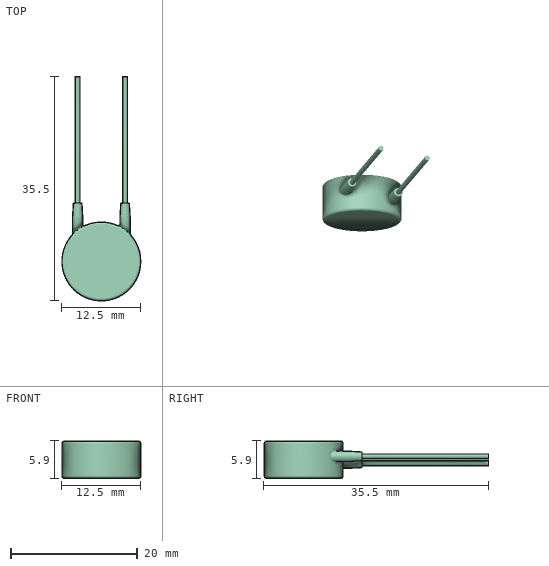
import cadquery as cq

body_diameter = 12.5
body_height = 5.9
body_edge_radius = 0.4
body_radius = body_diameter / 2

lead_pitch = 7.5
lead_height_offset = 1.1
wire_diameter = 0.8
wire_length = 20.0

sleeve_diameter = 1.65
sleeve_tip_diameter = 1.4
sleeve_tip_radius = 0.15
sleeve_reach = 3.0
taper_length = 2.15
root_radius = 0.2

sleeve_end_y = body_radius + sleeve_reach
taper_start_y = sleeve_end_y - taper_length


def make_body():
    disc = cq.Workplane("XY").circle(body_radius).extrude(body_height)
    return disc.edges().fillet(body_edge_radius)


def make_sleeve(x, z):
    """Cylinder from inside the body (Y = 0) that tapers to a rounded end."""
    half_profile = (
        cq.Workplane("YZ")
        .lineTo(0, sleeve_diameter / 2)
        .lineTo(taper_start_y, sleeve_diameter / 2)
        .lineTo(sleeve_end_y, sleeve_tip_diameter / 2)
        .lineTo(sleeve_end_y, 0)
        .close()
    )
    sleeve = half_profile.revolve(360, (0, 0, 0), (1, 0, 0))
    sleeve = sleeve.faces(">Y").edges().fillet(sleeve_tip_radius)
    return sleeve.translate((x, 0, z))


def make_wire(x, z):
    wire = cq.Workplane("XZ").circle(wire_diameter / 2).extrude(-wire_length)
    return wire.translate((x, sleeve_end_y, z))


def fillet_sleeve_roots(part):
    """Round the closed curves where the sleeves enter the side of the body."""
    root_zone = cq.selectors.BoxSelector(
        (-body_radius, 0, body_edge_radius),
        (body_radius, body_radius, body_height - body_edge_radius),
    )
    return part.edges(root_zone).edges("%BSPLINE").fillet(root_radius)


lead_places = [
    (side * lead_pitch / 2, (body_height + side * lead_height_offset) / 2)
    for side in (-1, 1)
]

result = make_body()
for lead_x, lead_z in lead_places:
    result = result.union(make_sleeve(lead_x, lead_z))
result = fillet_sleeve_roots(result)
for lead_x, lead_z in lead_places:
    result = result.union(make_wire(lead_x, lead_z))